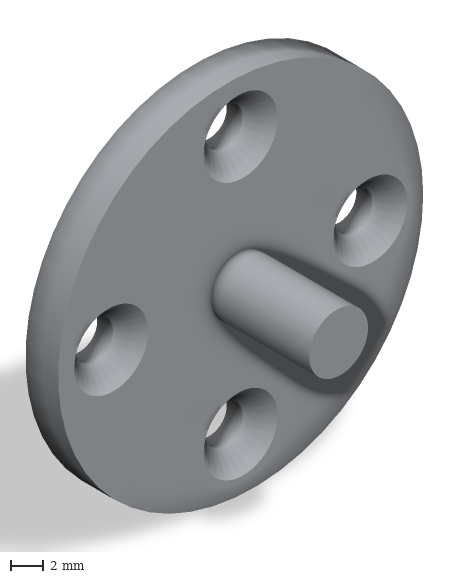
import cadquery as cq

flange_diameter = 31
flange_thickness = 3.0
shaft_diameter = 5.0
total_length = 12.0
hole_diameter = 3.2
countersink_diameter = 6.3
countersink_angle = 90
hole_count = 4
bolt_circle_diameter = 22

shaft_length = total_length - flange_thickness

flange = cq.Workplane("YZ").circle(flange_diameter / 2).extrude(flange_thickness)

shaft = (
    cq.Workplane("YZ", origin=(flange_thickness, 0, 0))
    .circle(shaft_diameter / 2)
    .extrude(shaft_length)
)

result = (
    flange.union(shaft)
    .copyWorkplane(cq.Workplane("YZ", origin=(flange_thickness, 0, 0)))
    .polarArray(bolt_circle_diameter / 2, 0, 360, hole_count)
    .cskHole(hole_diameter, countersink_diameter, countersink_angle, flange_thickness)
)